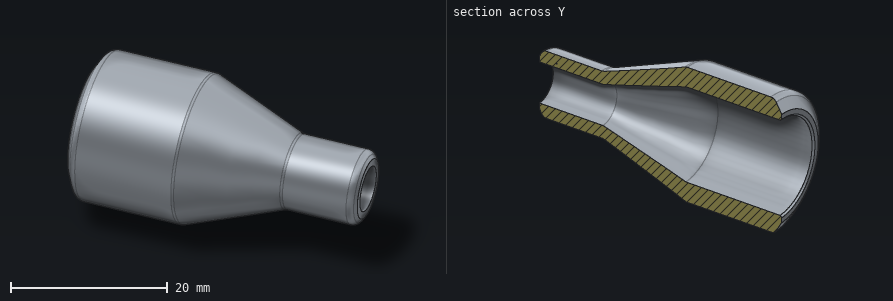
import cadquery as cq
import math

length = 38.0
body_radius = 10.0
spout_radius = body_radius / 2
bore_radius = 7.0
outlet_radius = 3.0

cone_start = 15.0
cone_end = 28.0

edge_round = 1.0
lead_in_slope = math.tan(math.radians(60))
body_lead_in = 2.0
spout_lead_in = 1.03
mouth_chamfer = 0.25


def outer_body():
    """Solid outer form with both ends chamfered and its four inner corners rounded."""
    body_shoulder = body_lead_in / lead_in_slope
    spout_shoulder = length - spout_lead_in / lead_in_slope
    profile = [
        (0, 0),
        (0, body_radius - body_lead_in),
        (body_shoulder, body_radius),
        (cone_start, body_radius),
        (cone_end, spout_radius),
        (spout_shoulder, spout_radius),
        (length, spout_radius - spout_lead_in),
        (length, 0),
    ]
    solid = cq.Workplane("XY").polyline(profile).close().revolve(360, (0, 0, 0), (1, 0, 0))
    margin = min(body_shoulder, length - spout_shoulder) / 2
    rounded_span = cq.selectors.BoxSelector(
        (margin, -length, -length), (length - margin, length, length), boundingbox=True
    )
    return solid.edges("%CIRCLE").edges(rounded_span).fillet(edge_round)


def passage():
    """Bore that narrows through a cone, with a chamfered mouth at the wide end."""
    profile = [
        (0, 0),
        (0, bore_radius + mouth_chamfer),
        (mouth_chamfer, bore_radius),
        (cone_start, bore_radius),
        (cone_end, outlet_radius),
        (length, outlet_radius),
        (length, 0),
    ]
    return cq.Workplane("XY").polyline(profile).close().revolve(360, (0, 0, 0), (1, 0, 0))


result = outer_body().cut(passage())